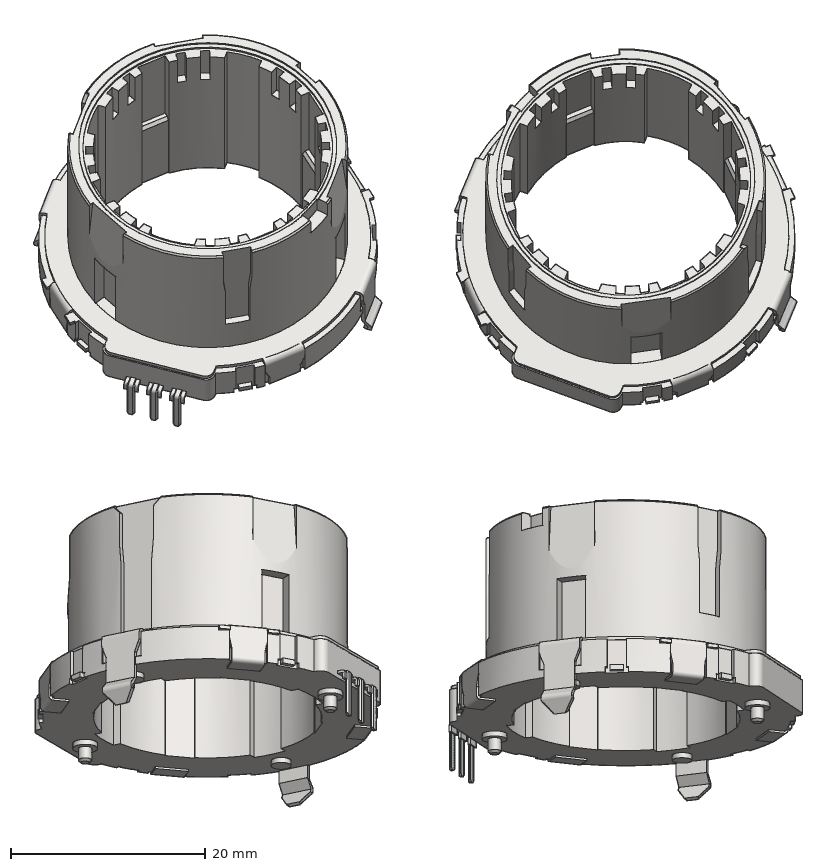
import cadquery as cq

top_z = 19.35
bottom_z = -4.1
base_height = 3.55
cover_top = 3.95
sheet_thickness = cover_top - base_height
base_radius = 17.4
cover_radius = 16.8
flat_distance = 17.52
flat_half_width = 6.02
flat_corner_radius = 0.95
cover_flat_half_width = 5.88
cover_flat_distance = 17.37
tube_radius = 14.4
rim_chamfer = 0.2
bore_radius = 11.75
overshoot = 0.73
diagonals = (45, 135, 225, 315)


def turned(body, angle):
    """Turn a body about the bore axis."""
    return body.rotate((0, 0, 0), (0, 0, 1), angle)


def radial_box(angle, inner, outer, half_width, low, high):
    """Box between two distances from the axis, pointing along the given angle."""
    box = cq.Workplane("XY").box(outer - inner, 2 * half_width, high - low, centered=(False, True, False))
    return turned(box.translate((inner, 0, low)), angle)


def disc(radius, low, high):
    return cq.Workplane("XY").workplane(offset=low).circle(radius).extrude(high - low)


def radial_profile(angle, points, inner, outer):
    """Extrude an outline of (sideways, Z) points between two distances from the axis."""
    body = cq.Workplane("YZ").workplane(offset=inner).polyline(points).close().extrude(outer - inner)
    return turned(body, angle)


def mirrored(right_side):
    """Close a symmetric outline from the points on its positive side."""
    return right_side + [(-side, z) for side, z in reversed(right_side)]


def ring_plate(radius, flat_width, flat_reach, corner, low, high):
    ends = cq.Workplane("XY").box(2 * flat_width, 2 * flat_reach, high - low, centered=(True, True, False))
    ends = ends.edges("|Z").fillet(corner).translate((0, 0, low))
    return disc(radius, low, high).union(ends)


clip_distance = 17.3
clip_half_widths = {45: 2.0, 135: 2.3, 225: 2.0, 315: 2.3}
arm_angles = (0, 180)
arm_distance = 17.52
arm_root_half_width = 2.25
arm_half_width = 1.7
arm_slot_half_width = 2.35
arm_slot_floor = 0.88


def base():
    body = ring_plate(base_radius, flat_half_width, flat_distance, flat_corner_radius, 0, base_height)
    far = base_radius + overshoot
    for angle, half_width in clip_half_widths.items():
        seat = clip_distance - sheet_thickness
        body = body.cut(radial_box(angle, seat, far, half_width, -overshoot, base_height))
    for angle in arm_angles:
        seat = arm_distance - sheet_thickness
        body = body.cut(radial_box(angle, seat, far, arm_slot_half_width, arm_slot_floor, base_height))
        body = body.cut(radial_box(angle, seat, far, arm_half_width, -overshoot, arm_slot_floor))
    return body


recess_angles = (20, 59.5, 120.5, 160, 239.5, 300.5)
recess_distance = 16.97
recess_half_width = 1.0
recess_foot_half_width = 1.2
recess_foot_height = 0.55
tab_half_width = 0.7
tab_reach = 17.5
tab_low = 0.2
tab_high = 0.73


def recess(angle):
    far = base_radius + overshoot
    slot = radial_box(angle, recess_distance, far, recess_half_width, -overshoot, base_height)
    foot = radial_box(angle, recess_distance, far, recess_foot_half_width, -overshoot, recess_foot_height)
    return slot.union(foot)


def recess_tab(angle):
    return radial_box(angle, recess_distance - sheet_thickness, tab_reach, tab_half_width, tab_low, tab_high)


foot_half_width = 1.75
clip_taper_top = 2.3
clip_taper_bottom = 1.1
bend_radius = 0.62
foot_bend_radius = 0.45
foot_thickness = 0.22
foot_inner = 15.15
ear_angles = (45, 225)
ear_end = 3.18
ear_low = 3.18
ear_reach = 17.63


def clip(angle):
    """C-shaped strip: over the cover, down the rim and back under the base."""
    half_width = clip_half_widths[angle]
    inner = clip_distance - sheet_thickness
    side = [
        (tube_radius, cover_top),
        (clip_distance, cover_top),
        (clip_distance, -foot_thickness),
        (foot_inner, -foot_thickness),
        (foot_inner, 0),
        (inner, 0),
        (inner, base_height),
        (tube_radius, base_height),
    ]
    strip = cq.Workplane("XZ").polyline(side).close().extrude(half_width, both=True)
    strip = strip.edges(">X and >Z").fillet(bend_radius)
    strip = strip.edges(">X and <Z").fillet(foot_bend_radius)
    outline = mirrored([
        (half_width, cover_top),
        (half_width, clip_taper_top),
        (foot_half_width, clip_taper_bottom),
        (foot_half_width, -foot_thickness),
    ])
    return turned(strip.intersect(radial_profile(0, outline, 0, clip_distance)), angle)


def ears(angle):
    """Blocks on both sides of a clip, just under the cover."""
    inner = clip_distance - 2 * sheet_thickness
    wide = radial_box(angle, inner, ear_reach, ear_end, ear_low, base_height)
    return wide.cut(radial_box(angle, inner, ear_reach, clip_half_widths[angle], ear_low, base_height))


kink_start_z = -1.45
kink_inner_rise = 0.07
kink_z = -2.4
kink_begin = (18.0, -1.97)
kink_end = (18.15, -2.77)
kink_reach = 18.25
arm_tip_inner = 17.1
arm_tip_outer = 17.4
arm_tip_inner_z = -3.87
arm_tip_half_width = 0.62
arm_tip_shoulder = -2.77
arm_taper_top = 2.65
arm_taper_bottom = 1.35


def snap_arm(angle):
    inner = arm_distance - sheet_thickness
    strip = (
        cq.Workplane("XZ")
        .moveTo(tube_radius, cover_top)
        .lineTo(arm_distance, cover_top)
        .lineTo(arm_distance, kink_start_z)
        .lineTo(*kink_begin)
        .threePointArc((kink_reach, kink_z), kink_end)
        .lineTo(arm_tip_outer, bottom_z)
        .lineTo(arm_tip_inner, arm_tip_inner_z)
        .lineTo(kink_reach - sheet_thickness, kink_z)
        .lineTo(inner, kink_start_z + kink_inner_rise)
        .lineTo(inner, base_height)
        .lineTo(tube_radius, base_height)
        .close()
        .extrude(arm_root_half_width, both=True)
    )
    bend = cq.NearestToPointSelector((arm_distance, 0, cover_top))
    strip = strip.edges(bend).fillet(bend_radius)
    outline = mirrored([
        (arm_root_half_width, cover_top),
        (arm_root_half_width, arm_taper_top),
        (arm_half_width, arm_taper_bottom),
        (arm_half_width, arm_tip_shoulder),
        (arm_tip_half_width, bottom_z),
    ])
    return turned(strip.intersect(radial_profile(0, outline, 0, kink_reach)), angle)


rim_inner_radius = 13.3
rim_step = 19.15
groove_radius = 12.55
teeth_top = 18.95
teeth_outer_radius = 12.85
groove_half_widths = {0: 1.85, 90: 1.85, 180: 1.85, 270: 2.45}
stop_groove_half_width = 1.57
stop_flat_distance = 11.8
stop_shelf = 9.2
stop_bevel = 0.33
tooth_gap_angles = (18.8, 30.5, 59.5, 71.2)
tooth_gap_half_width = 0.47
tooth_gap_floor = 15.1


def tube():
    return disc(tube_radius, 0, top_z).faces(">Z").edges().chamfer(rim_chamfer)


def bore():
    """Everything removed from the inside of the tube, as one body."""
    body = disc(bore_radius, -overshoot, top_z)
    mouth = (
        cq.Workplane("XZ")
        .moveTo(0, teeth_top)
        .lineTo(teeth_outer_radius, teeth_top)
        .lineTo(teeth_outer_radius, rim_step)
        .lineTo(rim_inner_radius, rim_step)
        .lineTo(rim_inner_radius, top_z)
        .lineTo(0, top_z)
        .close()
        .revolve(360, (0, 0, 0), (0, 1, 0))
    )
    body = body.union(mouth)
    for angle, half_width in groove_half_widths.items():
        groove = radial_box(angle, 0, groove_radius + overshoot, half_width, -overshoot, teeth_top)
        body = body.union(groove.intersect(disc(groove_radius, -overshoot, teeth_top)))
    for angle in diagonals:
        groove = (
            cq.Workplane("XZ")
            .moveTo(0, teeth_top)
            .lineTo(groove_radius, teeth_top)
            .lineTo(groove_radius, stop_shelf)
            .lineTo(stop_flat_distance + stop_bevel, stop_shelf)
            .lineTo(stop_flat_distance, stop_shelf - stop_bevel)
            .lineTo(stop_flat_distance, -overshoot)
            .lineTo(0, -overshoot)
            .close()
            .extrude(stop_groove_half_width, both=True)
        )
        body = body.union(turned(groove, angle))
        for offset in tooth_gap_angles:
            gap = radial_box(0, 0, groove_radius, tooth_gap_half_width, tooth_gap_floor, teeth_top)
            body = body.union(turned(gap, angle - diagonals[0] + offset))
    return body


third_angles = (0, 120, 240)
tongue_half_width = 2.55
tongue_low_z = 12.3
tongue_top_distance = 13.7
window_half_width = 1.6
window_distance = 13.0
window_top = 11.35
keyway_distance = 13.7
wide_keyway_angle = 180
narrow_keyway_angles = (60, 300)
notch_inner_radius = 13.1
notch_floor = 17.37
notch_angles = (-25, -13.5)


def tongue(angle):
    """Sloping flat that runs out of the tube wall below and is deepest at the rim."""
    far = tube_radius + overshoot
    wedge = (
        cq.Workplane("XZ")
        .moveTo(tube_radius, tongue_low_z)
        .lineTo(tongue_top_distance, top_z)
        .lineTo(far, top_z)
        .lineTo(far, tongue_low_z)
        .close()
        .extrude(tongue_half_width, both=True)
    )
    return turned(wedge, angle)


def window(angle):
    far = tube_radius + overshoot
    return radial_box(angle, window_distance, far, window_half_width, base_height, window_top)


def keyway(angle, right_side):
    return radial_profile(angle, mirrored(right_side), keyway_distance, tube_radius + overshoot)


wide_keyway = [(1.82, 4.85), (1.82, 12.4), (2.05, 14.95), (2.05, 18.4), (2.77, 19.13), (2.77, top_z)]
narrow_keyway = [(1.28, 7.8), (1.28, 13.15), (1.5, 15.15), (1.5, top_z)]


def rim_notch():
    start, end = notch_angles
    section = (
        cq.Workplane("XZ")
        .rect(tube_radius + overshoot - notch_inner_radius, top_z - notch_floor, centered=False)
        .revolve(end - start, (-notch_inner_radius, 0, 0), (-notch_inner_radius, 1, 0))
        .translate((notch_inner_radius, 0, notch_floor))
    )
    return turned(section, start)


post_distance = 14.7
post_collar_radius = 1.28
post_pin_radius = 0.7
post_pin_low = -2.08
pad_radius = 1.02
support_low = -0.55
pin_tip_chamfer = 0.25


def locating_post(side):
    collar = disc(post_collar_radius, support_low, 0)
    pin = disc(post_pin_radius, post_pin_low, 0).faces("<Z").chamfer(pin_tip_chamfer)
    return collar.union(pin).translate((0, side * post_distance, 0))


def pad(side):
    return disc(pad_radius, support_low, 0).translate((side * post_distance, 0, 0))


terminal_pitch = 2.5
terminal_root = 14.6
terminal_front = 18.58
terminal_thickness = 0.3
terminal_half_width = 0.45
terminal_top = 0.85
terminal_bend_radius = 0.35
terminal_bevel = 0.2
collar_half_width = 0.75
collar_front = 18.45
collar_top = 0.75
collar_low = -0.2


def bent_strip(half_width, front, high, low):
    """L-shaped strip leaving the ring and turning down, along the local X axis."""
    inner = front - terminal_thickness
    under = high - terminal_thickness
    outline = [
        (terminal_root, high),
        (front, high),
        (front, low),
        (inner, low),
        (inner, under),
        (terminal_root, under),
    ]
    strip = cq.Workplane("XZ").polyline(outline).close().extrude(half_width, both=True)
    return strip.edges(">Z and >X").fillet(terminal_bend_radius)


def terminal(x):
    pin = bent_strip(terminal_half_width, terminal_front, terminal_top, bottom_z)
    pin = pin.edges("|X and <Z").chamfer(pin_tip_chamfer)
    pin = pin.edges(">X and |Z").chamfer(terminal_bevel)
    body = pin.union(bent_strip(collar_half_width, collar_front, collar_top, collar_low))
    return turned(body, -90).translate((x, 0, 0))


result = base()
for angle in recess_angles:
    result = result.cut(recess(angle)).union(recess_tab(angle))
cover = ring_plate(
    cover_radius, cover_flat_half_width, cover_flat_distance, flat_corner_radius, base_height, cover_top
)
result = result.union(cover)
for angle in clip_half_widths:
    result = result.union(clip(angle))
for angle in ear_angles:
    result = result.union(ears(angle))
for angle in arm_angles:
    result = result.union(snap_arm(angle))

result = result.cut(disc(tube_radius, base_height, cover_top))
shell = tube()
for angle in third_angles:
    shell = shell.cut(tongue(angle)).cut(window(angle))
shell = shell.cut(keyway(wide_keyway_angle, wide_keyway))
for angle in narrow_keyway_angles:
    shell = shell.cut(keyway(angle, narrow_keyway))
shell = shell.cut(rim_notch())
result = result.union(shell).cut(bore())

for side in (-1, 1):
    result = result.union(locating_post(side)).union(pad(side))
for x in (-terminal_pitch, 0, terminal_pitch):
    result = result.union(terminal(x))